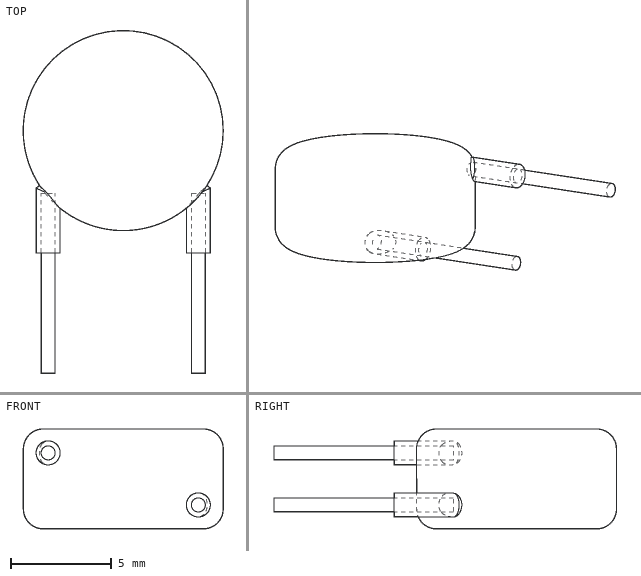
import cadquery as cq
import math

disc_diameter = 10.0
disc_height = 5.0
disc_edge_radius = 1.0

lead_pitch = 7.5
lead_height_offset = 1.3
wire_diameter = 0.7
wire_exposed_length = 6.0

sleeve_diameter = 1.2
sleeve_projection = 1.12
sleeve_bend_y = -3.15
sleeve_buried_length = 2.0

sleeve_end_y = -disc_diameter / 2 - sleeve_projection
wire_end_y = sleeve_end_y - wire_exposed_length

lead_positions = [
    (-lead_pitch / 2, lead_height_offset),
    (lead_pitch / 2, -lead_height_offset),
]


def plane_across_lead(x, y, z):
    """Plane at the given point whose normal points along +Y."""
    return cq.Plane(origin=(x, y, z), xDir=(1, 0, 0), normal=(0, 1, 0))


def make_disc():
    bottom = cq.Workplane("XY", origin=(0, 0, -disc_height / 2))
    disc = bottom.circle(disc_diameter / 2).extrude(disc_height)
    return disc.faces("<Z or >Z").edges().fillet(disc_edge_radius)


def make_sleeve(x, z):
    """Round sleeve with a mitred bend, ending inside the disc."""
    bend_radius_from_axis = math.hypot(x, sleeve_bend_y)
    inner_fraction = 1 - sleeve_buried_length / bend_radius_from_axis
    path = cq.Workplane("XY", origin=(0, 0, z)).polyline([
        (x, sleeve_end_y),
        (x, sleeve_bend_y),
        (x * inner_fraction, sleeve_bend_y * inner_fraction),
    ])
    section = cq.Workplane(plane_across_lead(x, sleeve_end_y, z)).circle(sleeve_diameter / 2)
    return section.sweep(path, transition="right")


def make_wire(x, z):
    """Straight wire from its free end up to the bend of its sleeve."""
    section = cq.Workplane(plane_across_lead(x, wire_end_y, z)).circle(wire_diameter / 2)
    return section.extrude(sleeve_bend_y - wire_end_y)


wires = [make_wire(x, z) for x, z in lead_positions]

coating = make_disc()
for x, z in lead_positions:
    coating = coating.union(make_sleeve(x, z))
for wire in wires:
    coating = coating.cut(wire)

result = cq.Compound.makeCompound([coating.solids().val(), *[wire.val() for wire in wires]])